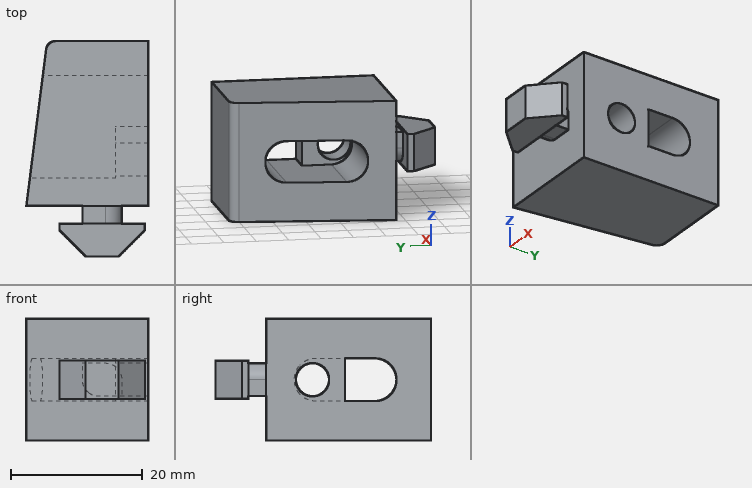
import cadquery as cq
import math

overall_length = 32.7

body_width = 18.5
body_height = 18.5
body_length = 25.0
side_slope = 7.2
corner_radius = 1.5

head_length = 5.0
neck_length = overall_length - body_length - head_length
head_width = 12.98
head_height = 5.8
head_edge = 1.0
head_bevel = head_length - head_edge
neck_width = 6.02
neck_height = 5.0
lock_center_x = 11.5

slot_length = 15.5
slot_height = 6.45
slot_from_back = 13.0
floor_thickness = 5.0
pin_hole_diameter = 5.0
pin_hole_from_back = 18.0

head_back_y = head_length
body_front_y = head_back_y + neck_length
body_back_y = body_front_y + body_length
slot_center_y = body_back_y - slot_from_back
pin_hole_y = body_back_y - pin_hole_from_back
floor_x = body_width - floor_thickness


def make_body():
    back_left_x = body_length * math.tan(math.radians(side_slope))
    outline = [
        (0, body_front_y),
        (body_width, body_front_y),
        (body_width, body_back_y),
        (back_left_x, body_back_y),
    ]
    block = cq.Workplane("XY").polyline(outline).close().extrude(body_height / 2, both=True)
    back_left_corner = cq.selectors.NearestToPointSelector((back_left_x, body_back_y, 0))
    return block.edges(back_left_corner).fillet(corner_radius)


def slot_prism(depth):
    return (
        cq.Workplane("YZ")
        .center(slot_center_y, 0)
        .slot2D(slot_length, slot_height)
        .extrude(depth)
    )


def make_pocket():
    """Pocket down to the floor; its back half and a round hole go right through."""
    back_half = cq.Workplane("XY").box(
        body_width, slot_length, slot_height, centered=(False, False, True)
    ).translate((0, slot_center_y, 0))
    through_half = slot_prism(body_width).intersect(back_half)
    pin_hole = (
        cq.Workplane("YZ").center(pin_hole_y, 0).circle(pin_hole_diameter / 2).extrude(body_width)
    )
    return slot_prism(floor_x).union(through_half).union(pin_hole)


def make_neck():
    """Rectangular bar with two diagonally opposite corners rounded to half its height."""
    half_width = neck_width / 2
    radius = neck_height / 2
    straight = half_width - radius
    mid_arc = radius * math.cos(math.radians(45))
    return (
        cq.Workplane("XZ", origin=(lock_center_x, body_front_y, 0))
        .moveTo(-half_width, radius)
        .lineTo(straight, radius)
        .threePointArc((straight + mid_arc, mid_arc), (half_width, 0))
        .lineTo(half_width, -radius)
        .lineTo(-straight, -radius)
        .threePointArc((-straight - mid_arc, -mid_arc), (-half_width, 0))
        .close()
        .extrude(neck_length)
    )


def make_head():
    half_width = head_width / 2
    half_tip = half_width - head_bevel
    outline = [
        (-half_tip, 0),
        (half_tip, 0),
        (half_width, head_bevel),
        (half_width, head_back_y),
        (-half_width, head_back_y),
        (-half_width, head_bevel),
    ]
    return (
        cq.Workplane("XY", origin=(lock_center_x, 0, 0))
        .polyline(outline)
        .close()
        .extrude(head_height / 2, both=True)
    )


result = make_body().cut(make_pocket()).union(make_neck()).union(make_head())